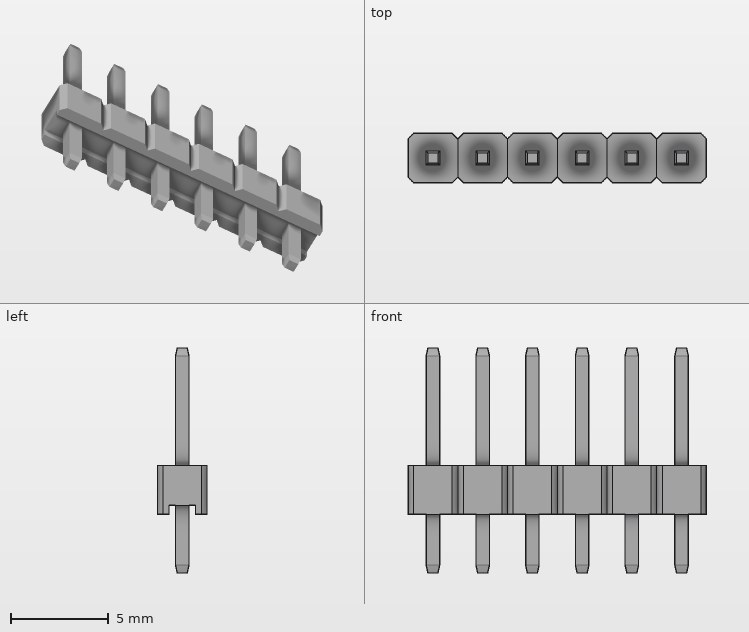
import cadquery as cq

POSITIONS = 6
ROW_LENGTH = 15.24
PITCH = ROW_LENGTH / POSITIONS

BLOCK_HEIGHT = 2.5
CORNER_CHAMFER = 0.29

GROOVE_WIDTH = 1.34
GROOVE_DEPTH = 0.45

PIN_WIDTH = 0.7
PIN_ABOVE = 6.0
PIN_BELOW = 3.0
TIP_LENGTH = 0.41
TIP_WIDTH = 0.52


def make_block():
    """Square insulator block, underside at Z = 0, with a groove along X."""
    block = (
        cq.Workplane("XY")
        .box(PITCH, PITCH, BLOCK_HEIGHT, centered=(True, True, False))
        .edges("|Z")
        .chamfer(CORNER_CHAMFER)
    )
    groove = cq.Workplane("XY").box(
        PITCH, GROOVE_WIDTH, GROOVE_DEPTH, centered=(True, True, False)
    )
    return block.cut(groove)


def make_tip(base_z, end_z):
    """Square taper from the full pin section at base_z to the end face at end_z."""
    return (
        cq.Workplane("XY", origin=(0, 0, base_z))
        .rect(PIN_WIDTH, PIN_WIDTH)
        .workplane(offset=end_z - base_z)
        .rect(TIP_WIDTH, TIP_WIDTH)
        .loft(ruled=True)
    )


def make_pin():
    """Square pin through the block, tapered at both ends."""
    bottom_z = -PIN_BELOW
    top_z = BLOCK_HEIGHT + PIN_ABOVE
    shank_bottom_z = bottom_z + TIP_LENGTH
    shank_top_z = top_z - TIP_LENGTH
    shank = (
        cq.Workplane("XY", origin=(0, 0, shank_bottom_z))
        .rect(PIN_WIDTH, PIN_WIDTH)
        .extrude(shank_top_z - shank_bottom_z)
    )
    upper_tip = make_tip(shank_top_z, top_z)
    lower_tip = make_tip(shank_bottom_z, bottom_z)
    return shank.union(upper_tip).union(lower_tip)


def make_header_module(center_x):
    """One header position: block and pin as a single solid."""
    return make_block().union(make_pin()).translate((center_x, 0, 0))


first_center_x = -(ROW_LENGTH - PITCH) / 2
header_modules = []
for position in range(POSITIONS):
    header_module = make_header_module(first_center_x + position * PITCH)
    header_modules.append(header_module.solids().val())

result = cq.Compound.makeCompound(header_modules)